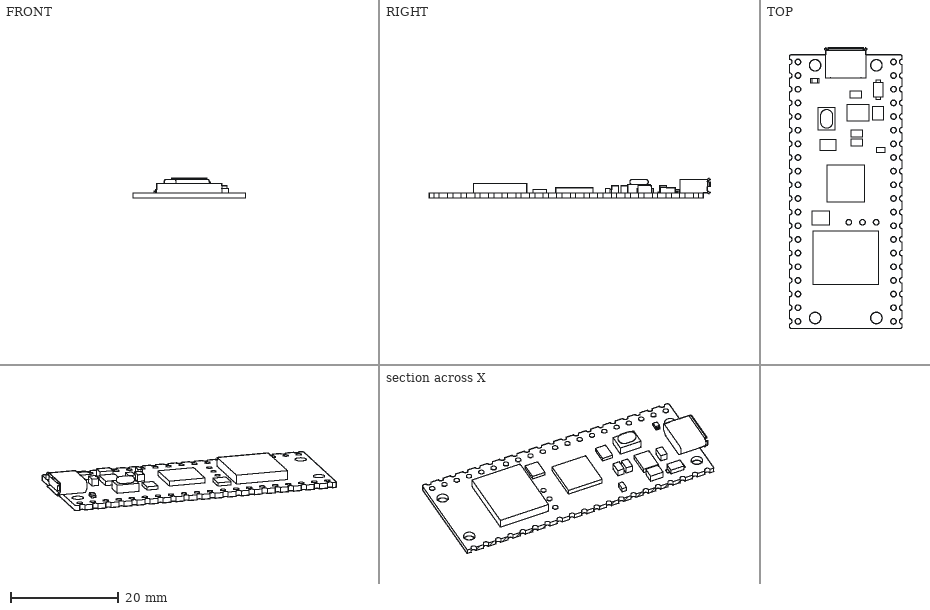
import cadquery as cq

board_width = 21.0
overall_length = 52.3
usb_overhang = 1.3
board_length = overall_length - usb_overhang
board_thickness = 1.0
corner_radius = 0.45
board_back = board_length / 2

pins_per_side = 20
pin_row_length = 48.25
pin_pitch = pin_row_length / (pins_per_side - 1)
pin_hole_diameter = 1.0
pin_row_spacing = 17.8

debug_hole_count = 3
debug_first_x = 0.6
debug_y = -5.7

mount_hole_diameter = 2.1
mount_spacing_x = 11.4
mount_edge_distance = 2.0
mount_spacing_y = board_length - 2 * mount_edge_distance

overall_height = 3.7
lip_rise = 0.2
lip_length = 0.5
usb_top = overall_height - lip_rise
usb_width = 7.55
usb_length = 5.1
usb_top_radius = 0.45
usb_bevel_height = 0.95
usb_bevel_inset = 0.9
usb_bevel_blend = 0.35
usb_front = board_back + usb_overhang - lip_length
lip_crest = 0.25
lip_tip_drop = 0.05
lip_thickness = 0.35

components = {
    "processor": (0, 1.5, 7.05, 6.95, 0.95),
    "radio module": (0, -12.3, 12.15, 9.95, 1.7),
    "flash memory": (-4.65, -4.9, 3.2, 2.55, 0.65),
    "crystal": (-3.3, 8.7, 3.05, 2.1, 0.65),
    "regulator": (2.3, 14.7, 4.15, 3.05, 0.85),
    "inductor": (6.0, 14.6, 2.1, 2.55, 1.3),
    "rear capacitor": (1.9, 18.05, 2.1, 1.3, 1.3),
    "middle capacitor": (2.05, 10.8, 2.1, 1.3, 1.3),
    "front capacitor": (2.05, 9.1, 2.1, 1.3, 1.3),
    "resistor": (6.55, 7.75, 1.6, 0.9, 0.85),
    "diode body": (6.0, 18.95, 1.8, 2.7, 0.95),
    "diode leads": (6.0, 18.95, 0.85, 3.65, 0.1),
    "lamp base": (-5.75, 20.65, 1.6, 0.85, 0.3),
    "lamp lens": (-5.75, 20.65, 1.05, 0.85, 0.65),
}

button_x = -3.55
button_y = 13.55
button_width = 3.15
button_length = 4.25
button_height = 1.55
knob_width = 2.25
knob_length = 3.45
knob_thickness = 1.0
knob_edge_radius = 0.45
knob_sink = 0.05


def box_on_board(x, y, width, length, height):
    """Block standing on the top face of the board."""
    return (
        cq.Workplane("XY", origin=(x, y, board_thickness))
        .rect(width, length)
        .extrude(height)
    )


def make_board():
    """Plain board with rounded corners."""
    return (
        cq.Workplane("XY")
        .rect(board_width, board_length)
        .extrude(board_thickness)
        .edges("|Z")
        .fillet(corner_radius)
    )


def make_holes():
    """Cutters for the pin holes, edge half-holes, debug holes and mounting holes."""
    pin_points = []
    for side in (-1, 1):
        for row in range(pins_per_side):
            y = row * pin_pitch - pin_row_length / 2
            pin_points.append((side * pin_row_spacing / 2, y))
            pin_points.append((side * board_width / 2, y))
    for index in range(debug_hole_count):
        pin_points.append((debug_first_x + index * pin_pitch, debug_y))

    pin_holes = (
        cq.Workplane("XY")
        .pushPoints(pin_points)
        .circle(pin_hole_diameter / 2)
        .extrude(board_thickness)
    )
    mount_holes = (
        cq.Workplane("XY")
        .rect(mount_spacing_x, mount_spacing_y, forConstruction=True)
        .vertices()
        .circle(mount_hole_diameter / 2)
        .extrude(board_thickness)
    )
    return pin_holes.union(mount_holes)


def make_usb_body():
    """Block with rounded top edges and sides that slope inwards to a narrower base."""
    half_width = usb_width / 2
    half_base = half_width - usb_bevel_inset
    bevel_top = board_thickness + usb_bevel_height
    body = (
        cq.Workplane("XZ", origin=(0, usb_front, 0))
        .moveTo(-half_base, board_thickness)
        .lineTo(half_base, board_thickness)
        .lineTo(half_width, bevel_top)
        .lineTo(half_width, usb_top)
        .lineTo(-half_width, usb_top)
        .lineTo(-half_width, bevel_top)
        .close()
        .extrude(usb_length)
    )
    body = body.edges("|Y and >Z").fillet(usb_top_radius)
    bevel_edges = cq.selectors.BoxSelector(
        (-usb_width, usb_front - usb_length, bevel_top - usb_bevel_blend),
        (usb_width, usb_front, bevel_top + usb_bevel_blend),
    )
    return body.edges("|Y").edges(bevel_edges).fillet(usb_bevel_blend)


def make_lip(width):
    """Lip on a face lying in the XY plane, pointing along +Y and bent towards +Z."""
    tip_height = -lip_tip_drop
    return (
        cq.Workplane("YZ")
        .polyline([(0, 0), (lip_crest, lip_rise), (lip_length, tip_height), (0, -lip_thickness)])
        .close()
        .extrude(width / 2, both=True)
    )


def make_usb_lips():
    """One lip on the flat part of each of the four walls of the socket."""
    top_width = usb_width - 2 * usb_top_radius
    base_width = usb_width - 2 * usb_bevel_inset
    side_bottom = board_thickness + usb_bevel_height + usb_bevel_blend / 2
    side_top = usb_top - usb_top_radius
    side_width = side_top - side_bottom
    side_z = (side_top + side_bottom) / 2

    lips = make_lip(top_width).translate((0, usb_front, usb_top))
    base_lip = make_lip(base_width).rotate((0, 0, 0), (0, 1, 0), 180)
    lips = lips.union(base_lip.translate((0, usb_front, board_thickness)))
    for side in (-1, 1):
        side_lip = make_lip(side_width).rotate((0, 0, 0), (0, 1, 0), side * 90)
        lips = lips.union(side_lip.translate((side * usb_width / 2, usb_front, side_z)))
    return lips


def make_button():
    """Button housing with an oval knob rounded above and below."""
    housing = box_on_board(button_x, button_y, button_width, button_length, button_height)
    knob_bottom = board_thickness + button_height - knob_sink
    knob = (
        cq.Workplane("XY", origin=(button_x, button_y, knob_bottom))
        .slot2D(knob_length, knob_width, 90)
        .extrude(knob_thickness)
        .faces("<Z or >Z")
        .edges()
        .fillet(knob_edge_radius)
    )
    return housing.union(knob)


result = make_board().cut(make_holes())
for placement in components.values():
    result = result.union(box_on_board(*placement))
result = result.union(make_usb_body()).union(make_usb_lips()).union(make_button())